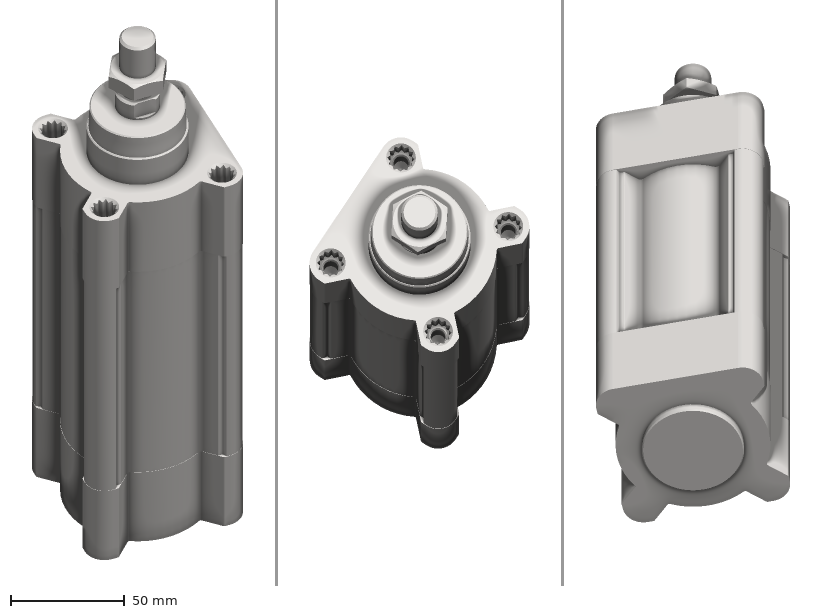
import cadquery as cq
import math

width = 75.0
overall_height = 273.0

boss_height = 4.0
rear_cap_top = 45.0
front_cap_bottom = 164.0
front_cap_top = 205.5
collar_step_height = 220.7
collar_top = 232.5

round_diameter = 68.3
lug_radius = 9.3
lug_edge = 25.5
cap_fillet = 1.0
cap_root_fillet = 0.8
barrel_root_fillet = 2.2
barrel_lug_fillet = 0.5
barrel_inset = 0.15
notch_depth = 2.2
notch_start = 26.8

socket_mouth_diameter = 13.0
socket_corner_diameter = 12.0
socket_squares = 3
socket_depth = 11.0
thread_mouth_diameter = 8.0
thread_hole_diameter = 6.5
thread_hole_depth = 21.8
drill_point_angle = 118.0

collar_diameter = 45.0
collar_chamfer = 0.5
taper_bottom_diameter = 43.5
taper_top_diameter = 42.3
taper_top_chamfer = 0.5

rod_diameter = 20.0
rod_flats_width = 17.0
rod_shoulder = 241.7
flats_bottom = 233.5
rod_chamfer = 0.8
neck_diameter = 14.5
neck_root_diameter = 15.0
neck_bottom = 242.5
neck_top = 244.2
thread_diameter = 16.0
thread_bottom = 245.8
rod_tip_chamfer = 1.0

nut_across_flats = 24.0
nut_height = 8.0
nut_bottom = 247.5
nut_face_diameter = 23.5
nut_chamfer_angle = 30.0

half_width = width / 2
hole_offset = half_width - lug_radius
lug_width = (half_width - lug_edge) * math.sqrt(2)
notch_floor = half_width - notch_depth
barrel_lug_width = lug_width - 2 * barrel_inset
notch_end = notch_floor - barrel_lug_width / math.sqrt(2)
edge_tolerance = 0.05
cut_margin = 2.7


def revolve_profile(points):
    """Revolve (radius, height) points about the Z axis."""
    return cq.Workplane("XZ").polyline(points).close().revolve(360, (0, 0), (0, 1))


def fillet_upright_edges(body, distance, radius):
    """Round the vertical edges that lie at a given distance from the Z axis."""
    def at_distance(edge):
        centre = edge.Center()
        return abs(math.hypot(centre.x, centre.y) - distance) < edge_tolerance
    return body.edges("|Z").filter(at_distance).fillet(radius)


def diagonal_cross(bottom, height, reach, bar_width):
    """Two crossed diagonal bars of a given width, reaching a given distance from the Z axis."""
    bar = cq.Workplane("XY").workplane(offset=bottom).rect(2 * reach, bar_width).extrude(height)
    return bar.rotate((0, 0, 0), (0, 0, 1), 45).union(bar.rotate((0, 0, 0), (0, 0, 1), -45))


def make_cap(bottom, top):
    """End cap: lugged section whose +Y side is filled to a flat face."""
    height = top - bottom
    plane = cq.Workplane("XY").workplane(offset=bottom)
    square = plane.rect(width, width).extrude(height).edges("|Z").fillet(lug_radius)
    lugs = square.intersect(diagonal_cross(bottom, height, width, lug_width))
    cap = plane.circle(round_diameter / 2).extrude(height).union(lugs)
    flat_inner = hole_offset - lug_radius / 2
    flat_side = cq.Workplane("XY").box(
        2 * hole_offset, half_width - flat_inner, height, centered=(True, False, False)
    ).translate((0, flat_inner, bottom))
    cap = cap.union(flat_side)
    cap = fillet_upright_edges(cap, round_diameter / 2, cap_root_fillet)
    return fillet_upright_edges(cap, math.hypot(lug_edge, half_width), cap_fillet)


def make_barrel():
    """Barrel: round section with four rounded lugs, notched along both side edges of each lug."""
    height = front_cap_bottom - rear_cap_top
    plane = cq.Workplane("XY").workplane(offset=rear_cap_top)
    barrel_radius = round_diameter / 2 - barrel_inset
    tips = (
        plane.rect(2 * hole_offset, 2 * hole_offset, forConstruction=True).vertices()
        .circle(lug_radius - barrel_inset).extrude(height)
    )
    lug_tips = tips.intersect(diagonal_cross(rear_cap_top, height, width, barrel_lug_width))
    lug_arms = diagonal_cross(rear_cap_top, height, hole_offset * math.sqrt(2), barrel_lug_width)
    barrel = plane.circle(barrel_radius).extrude(height).union(lug_arms).union(lug_tips)
    clear = half_width + cut_margin
    notch = (
        plane.polyline([
            (notch_start, clear),
            (notch_start, half_width),
            (lug_edge, notch_floor),
            (notch_end, notch_floor),
            (notch_end, clear),
        ])
        .close().extrude(height)
    )
    notch_pair = notch.union(notch.mirror("YZ"))
    for quarter in range(4):
        barrel = barrel.cut(notch_pair.rotate((0, 0, 0), (0, 0, 1), 90 * quarter))
    barrel = fillet_upright_edges(barrel, barrel_radius, barrel_root_fillet)
    return fillet_upright_edges(barrel, math.hypot(notch_end, notch_floor), barrel_lug_fillet)


def make_screw_socket():
    """Cutter for one screw head: chamfer, twelve-point socket and countersunk threaded hole."""
    mouth_radius = socket_mouth_diameter / 2
    thread_mouth_radius = thread_mouth_diameter / 2
    thread_radius = thread_hole_diameter / 2
    socket_floor = front_cap_top - socket_depth
    thread_floor = front_cap_top - thread_hole_depth
    point_depth = thread_radius / math.tan(math.radians(drill_point_angle / 2))
    cutter = revolve_profile([
        (0, front_cap_top),
        (mouth_radius, front_cap_top),
        (0, front_cap_top - mouth_radius),
    ])
    cutter = cutter.union(revolve_profile([
        (0, socket_floor),
        (thread_mouth_radius, socket_floor),
        (thread_radius, socket_floor - (thread_mouth_radius - thread_radius)),
        (thread_radius, thread_floor),
        (0, thread_floor - point_depth),
    ]))
    square = (
        cq.Workplane("XY").workplane(offset=socket_floor)
        .polygon(4, socket_corner_diameter).extrude(socket_depth)
    )
    for turn in range(socket_squares):
        cutter = cutter.union(square.rotate((0, 0, 0), (0, 0, 1), turn * 90 / socket_squares))
    return cutter


def make_collar():
    """Bearing collar: chamfered cylinder with a slightly tapered top."""
    radius = collar_diameter / 2
    top_radius = taper_top_diameter / 2
    return revolve_profile([
        (0, front_cap_top),
        (radius, front_cap_top),
        (radius, collar_step_height - collar_chamfer),
        (radius - collar_chamfer, collar_step_height),
        (taper_bottom_diameter / 2, collar_step_height),
        (top_radius, collar_top - taper_top_chamfer),
        (top_radius - taper_top_chamfer, collar_top),
        (0, collar_top),
    ])


def make_housing():
    """Caps, barrel, collar and rear boss as one solid, recessed for the rod and the screw sockets."""
    boss = cq.Workplane("XY").circle(collar_diameter / 2).extrude(boss_height)
    boss = boss.faces("<Z").edges().chamfer(collar_chamfer)
    housing = make_cap(boss_height, rear_cap_top).union(make_barrel())
    housing = housing.union(make_cap(front_cap_bottom, front_cap_top)).union(boss).union(make_collar())
    screw_socket = make_screw_socket()
    for x in (-hole_offset, hole_offset):
        for y in (-hole_offset, hole_offset):
            housing = housing.cut(screw_socket.translate((x, y, 0)))
    rod_hole = (
        cq.Workplane("XY").workplane(offset=front_cap_top)
        .circle(rod_diameter / 2).extrude(collar_top - front_cap_top)
    )
    return housing.cut(rod_hole)


def make_rod():
    """Piston rod with wrench flats, a relief neck and a plain cylindrical thread section."""
    radius = rod_diameter / 2
    thread_radius = thread_diameter / 2
    rod = revolve_profile([
        (0, front_cap_top),
        (radius, front_cap_top),
        (radius, rod_shoulder - rod_chamfer),
        (radius - rod_chamfer, rod_shoulder),
        (neck_root_diameter / 2, rod_shoulder),
        (neck_diameter / 2, neck_bottom),
        (neck_diameter / 2, neck_top),
        (thread_radius, thread_bottom),
        (thread_radius, overall_height - rod_tip_chamfer),
        (thread_radius - rod_tip_chamfer, overall_height),
        (0, overall_height),
    ])
    for side in (-1, 1):
        flat = cq.Workplane("XY").box(
            rod_diameter, rod_diameter, rod_shoulder - flats_bottom, centered=(True, True, False)
        ).translate((side * (rod_flats_width + rod_diameter) / 2, 0, flats_bottom))
        rod = rod.cut(flat)
    return rod


def make_nut():
    """Hexagon lock nut with flats facing +X and -X and a chamfered top."""
    corner_radius = nut_across_flats / math.sqrt(3)
    hexagon = (
        cq.Workplane("XY").workplane(offset=nut_bottom)
        .polygon(6, 2 * corner_radius).extrude(nut_height)
        .rotate((0, 0, 0), (0, 0, 1), 30)
    )
    face_radius = nut_face_diameter / 2
    nut_top = nut_bottom + nut_height
    chamfer_height = (corner_radius - face_radius) * math.tan(math.radians(nut_chamfer_angle))
    envelope = revolve_profile([
        (0, nut_bottom),
        (corner_radius, nut_bottom),
        (corner_radius, nut_top - chamfer_height),
        (face_radius, nut_top),
        (0, nut_top),
    ])
    bore = (
        cq.Workplane("XY").workplane(offset=nut_bottom)
        .circle(thread_diameter / 2).extrude(nut_height)
    )
    return hexagon.intersect(envelope).cut(bore)


housing = make_housing()
rod = make_rod()
nut = make_nut()

result = cq.Compound.makeCompound([housing.solids().val(), rod.solids().val(), nut.solids().val()])